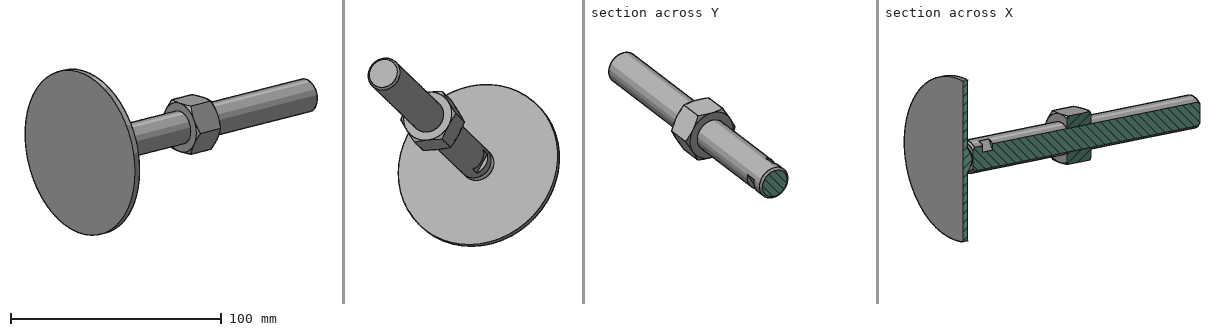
import cadquery as cq
import math

overall_length = 143.0

foot_diameter = 80.0
foot_thickness = 3.0
neck_height = 3.0

rod_diameter = 16.0
rod_start = foot_thickness + neck_height
rod_chamfer = 1.0
flats_width = 12.0
flats_start = 12.0
flats_length = 5.9
flats_tilt = 30.0

neck_base_radius = rod_diameter / 2
neck_tip_radius = neck_base_radius - neck_height

nut_width = 24.0
nut_start = 62.6
nut_thickness = 14.7
nut_chamfer_angle = 30.0
nut_corner_radius = nut_width / 2 / math.cos(math.radians(30))


def plane_at(y):
    """Plane square to the axis, facing +Y, with its local x along X."""
    return cq.Plane(origin=(0, y, 0), xDir=(1, 0, 0), normal=(0, 1, 0))


def revolve_about_axis(profile):
    """Revolve a (radius, Y) outline about the Y axis."""
    return cq.Workplane("XY").polyline(profile).close().revolve(360, (0, 0, 0), (0, 1, 0))


def make_foot():
    return revolve_about_axis([
        (0, 0),
        (foot_diameter / 2, 0),
        (foot_diameter / 2, foot_thickness),
        (neck_base_radius, foot_thickness),
        (neck_tip_radius, rod_start),
        (0, rod_start),
    ])


def make_spindle():
    rod = (
        cq.Workplane(plane_at(rod_start))
        .circle(rod_diameter / 2)
        .extrude(overall_length - rod_start)
        .edges("%CIRCLE")
        .chamfer(rod_chamfer)
    )
    for side in (-1, 1):
        cutter = (
            cq.Workplane(plane_at(flats_start))
            .center(side * (flats_width + rod_diameter) / 2, 0)
            .rect(rod_diameter, 2 * rod_diameter)
            .extrude(flats_length)
            .rotate((0, 0, 0), (0, 1, 0), -flats_tilt)
        )
        rod = rod.cut(cutter)
    return rod


def make_nut():
    hexagon = (
        cq.Workplane(plane_at(nut_start))
        .polygon(6, 2 * nut_corner_radius)
        .extrude(nut_thickness)
    )
    nut_end = nut_start + nut_thickness
    face_radius = nut_width / 2
    bevel_height = (nut_corner_radius - face_radius) * math.tan(math.radians(nut_chamfer_angle))
    envelope = revolve_about_axis([
        (0, nut_start),
        (face_radius, nut_start),
        (nut_corner_radius, nut_start + bevel_height),
        (nut_corner_radius, nut_end - bevel_height),
        (face_radius, nut_end),
        (0, nut_end),
    ])
    bore = cq.Workplane(plane_at(nut_start)).circle(rod_diameter / 2).extrude(nut_thickness)
    return hexagon.intersect(envelope).cut(bore)


foot = make_foot()
spindle = make_spindle()
nut = make_nut()

result = cq.Compound.makeCompound([foot.val(), spindle.val(), nut.val()])